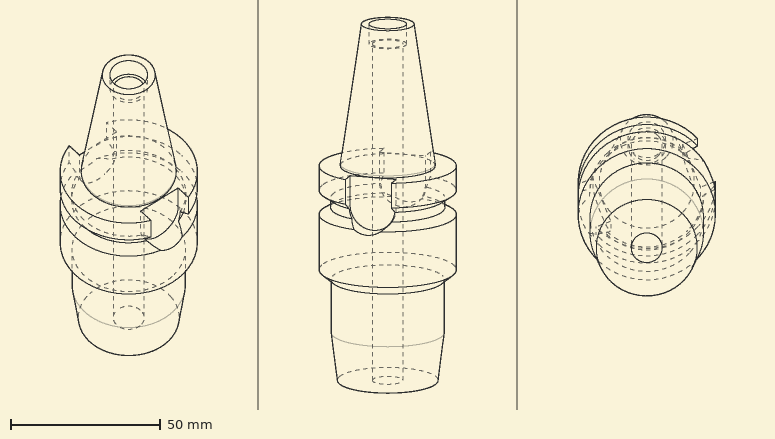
import cadquery as cq

total_height = 123.4
nose_taper_top = 16.7
shoulder_bottom = 34.9
shoulder_top = 38.3
groove_lower_rim = 57.5
groove_floor_bottom = 59.8
groove_floor_top = 63.2
groove_upper_rim = 65.8
flange_top = 74.3
gauge_plane = 75.0

body_radius = 46.0 / 2
nose_radius = 19.0
nose_tip_radius = 16.9
groove_radius = 19.1
gauge_radius = 15.9
taper_ratio = 7 / 24
small_end_radius = gauge_radius - (total_height - gauge_plane) * taper_ratio / 2

bore_radius = 5.2
counterbore_radius = 6.3
counterbore_depth = 6.9

slot_width = 16.2
slot_floor_offset = 16.2
slot_bottom = 56.0


def make_turned_body():
    """Solid of revolution: nose, body, gripper-groove flange and conical shank."""
    outline = [
        (0, 0),
        (nose_tip_radius, 0),
        (nose_radius, nose_taper_top),
        (nose_radius, shoulder_bottom),
        (body_radius, shoulder_top),
        (body_radius, groove_lower_rim),
        (groove_radius, groove_floor_bottom),
        (groove_radius, groove_floor_top),
        (body_radius, groove_upper_rim),
        (body_radius, flange_top),
        (gauge_radius, flange_top),
        (gauge_radius, gauge_plane),
        (small_end_radius, total_height),
        (0, total_height),
    ]
    return cq.Workplane("XZ").polyline(outline).close().revolve(360, (0, 0), (0, 1))


def make_drive_slot(side):
    """Round-bottomed slot cutter, open at the flange top; side is -1 or +1."""
    half_width = slot_width / 2
    arc_center_height = slot_bottom + half_width
    return (
        cq.Workplane("YZ", origin=(side * slot_floor_offset, 0, 0))
        .moveTo(-half_width, flange_top)
        .lineTo(-half_width, arc_center_height)
        .threePointArc((0, slot_bottom), (half_width, arc_center_height))
        .lineTo(half_width, flange_top)
        .close()
        .extrude(side * body_radius)
    )


holder = make_turned_body()

for side in (-1, 1):
    holder = holder.cut(make_drive_slot(side))

bore = cq.Workplane("XY").circle(bore_radius).extrude(total_height)
counterbore = (
    cq.Workplane("XY", origin=(0, 0, total_height))
    .circle(counterbore_radius)
    .extrude(-counterbore_depth)
)

result = holder.cut(bore).cut(counterbore)